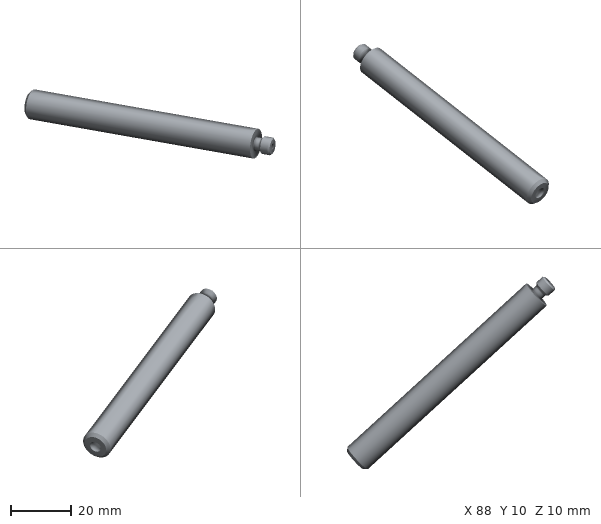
import cadquery as cq
import math

total_length = 88.0
sleeve_length = 82.0
sleeve_diameter = 10.0
sleeve_bore_diameter = 4.0
sleeve_chamfer = 1.1

neck_diameter = 4.4
head_diameter = 6.0
nipple_bore_diameter = 2.0
root_fillet = 0.3
head_offset = 2.8
neck_fillet = 0.7
head_cone_angle = math.radians(45)
head_tip_chamfer = (head_diameter - 5.0) / 2

sleeve_start = -total_length / 2
sleeve_end = sleeve_start + sleeve_length
nipple_tip = sleeve_start + total_length


def rod(start, end, diameter):
    """Solid cylinder along X between two X positions."""
    return cq.Workplane("YZ", origin=(start, 0, 0)).circle(diameter / 2).extrude(end - start)


def make_sleeve():
    """Long tube with a through bore and a chamfered -X end."""
    body = rod(sleeve_start, sleeve_end, sleeve_diameter).faces("<X").chamfer(sleeve_chamfer)
    return body.cut(rod(sleeve_start, sleeve_end, sleeve_bore_diameter))


def make_nipple():
    """Headed nipple seated on the +X end of the sleeve, drilled through."""
    neck_radius = neck_diameter / 2
    head_radius = head_diameter / 2
    head_start = sleeve_end + head_offset
    cone_start_radius = neck_radius + neck_fillet * (1 - math.cos(head_cone_angle))
    cone_start = head_start - (head_radius - cone_start_radius) / math.tan(head_cone_angle)
    fillet_start = cone_start - neck_fillet * math.sin(head_cone_angle)
    root_radius = neck_radius + root_fillet
    profile = (
        cq.Workplane("XY")
        .moveTo(sleeve_end, 0)
        .lineTo(sleeve_end, root_radius)
        .radiusArc((sleeve_end + root_fillet, neck_radius), -root_fillet)
        .lineTo(fillet_start, neck_radius)
        .radiusArc((cone_start, cone_start_radius), -neck_fillet)
        .lineTo(head_start, head_radius)
        .lineTo(nipple_tip - head_tip_chamfer, head_radius)
        .lineTo(nipple_tip, head_radius - head_tip_chamfer)
        .lineTo(nipple_tip, 0)
        .close()
    )
    body = profile.revolve(360, (0, 0, 0), (1, 0, 0))
    return body.cut(rod(sleeve_end, nipple_tip, nipple_bore_diameter))


sleeve = make_sleeve()
nipple = make_nipple()
result = cq.Compound.makeCompound([sleeve.val(), nipple.val()])